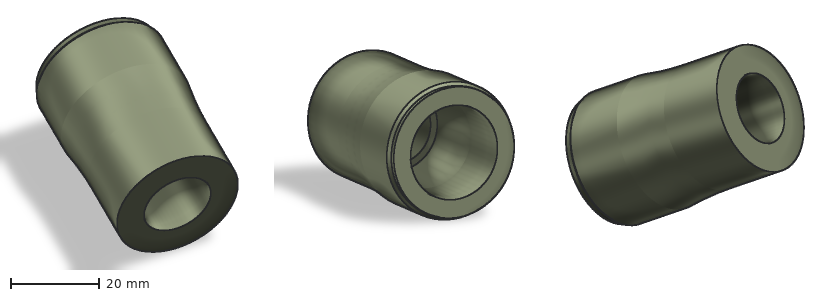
import cadquery as cq
import math

length = 45.5
body_radius = 32.0 / 2
spigot_radius = 30.05 / 2

nose_length = 1.3
nose_chamfer = 0.77
nose_radius = body_radius - nose_chamfer

neck_start = 16.05
neck_end = 29.5

socket_radius = 10.95
socket_depth = 14.0
throat_radius = 9.95
bore_radius = 8.3


def neck_midpoint():
    """Middle of the neck arc, which is tangent to the spigot."""
    run = neck_end - neck_start
    drop = body_radius - spigot_radius
    arc_radius = (run**2 + drop**2) / (2 * drop)
    half_angle = math.asin(run / arc_radius) / 2
    x = neck_end - arc_radius * math.sin(half_angle)
    radius = spigot_radius + arc_radius * (1 - math.cos(half_angle))
    return x, radius


section = (
    cq.Workplane("XY")
    .moveTo(0, socket_radius)
    .lineTo(0, nose_radius)
    .lineTo(nose_length, nose_radius)
    .lineTo(nose_length + nose_chamfer, body_radius)
    .lineTo(neck_start, body_radius)
    .threePointArc(neck_midpoint(), (neck_end, spigot_radius))
    .lineTo(length, spigot_radius)
    .lineTo(length, bore_radius)
    .lineTo(neck_end, bore_radius)
    .lineTo(neck_end, throat_radius)
    .lineTo(socket_depth, socket_radius)
    .close()
)

result = section.revolve(360, (0, 0, 0), (1, 0, 0))